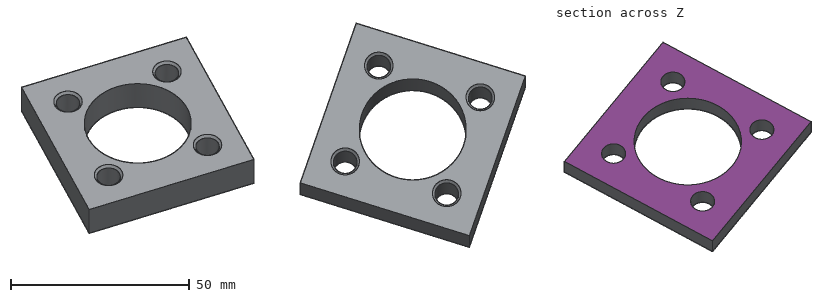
import cadquery as cq

side = 50.0
thickness = 10.0

bore_diameter = 30.0

hole_spacing = 30.0
hole_diameter = 6.6
chamfer_diameter = 8.0

plate = cq.Workplane("XY").box(side, side, thickness)
plate = plate.faces(">Z").workplane().hole(bore_diameter)

chamfer_angle = 90.0
result = (
    plate.faces(">Z")
    .workplane()
    .rect(hole_spacing, hole_spacing, forConstruction=True)
    .vertices()
    .cskHole(hole_diameter, chamfer_diameter, chamfer_angle)
)